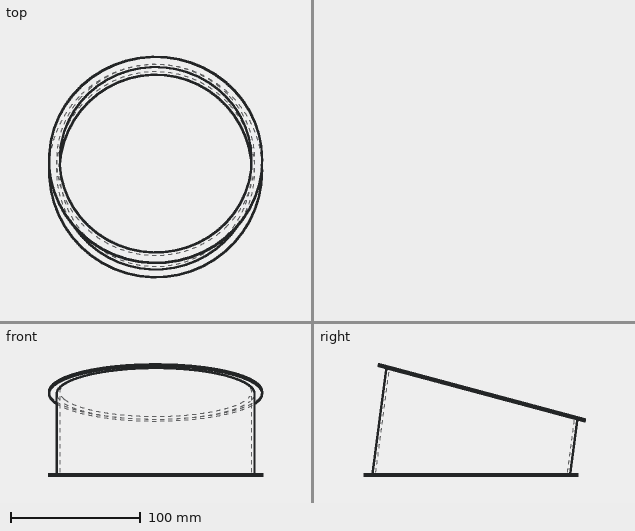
import cadquery as cq
import math

flange_diameter = 164.0
flange_thickness = 1.5
tube_diameter = 152.2
bore_diameter = 147.5
end_height = 64.7
bend_angle = 15.0

axis_lean = math.radians(bend_angle / 2)
end_shift = end_height * math.tan(axis_lean)

base_plane = cq.Plane.XY()
end_normal = (0, math.sin(math.radians(bend_angle)), math.cos(math.radians(bend_angle)))
end_plane = cq.Plane(origin=(0, end_shift, end_height), xDir=(1, 0, 0), normal=end_normal)


def circle_on(plane, diameter):
    """Circular wire centred on one end plane."""
    return cq.Workplane(plane).circle(diameter / 2).wires().val()


def leaning_cylinder(diameter):
    """Straight-sided solid joining equal circles on the two end planes."""
    ends = [circle_on(plane, diameter) for plane in (base_plane, end_plane)]
    return cq.Workplane(obj=cq.Solid.makeLoft(ends, True))


def flange(plane, depth):
    """Flat disc from an end plane, extruded towards the inside of the fitting."""
    return cq.Workplane(plane).circle(flange_diameter / 2).extrude(depth)


body = leaning_cylinder(tube_diameter)
body = body.union(flange(base_plane, flange_thickness))
body = body.union(flange(end_plane, -flange_thickness))
result = body.cut(leaning_cylinder(bore_diameter))